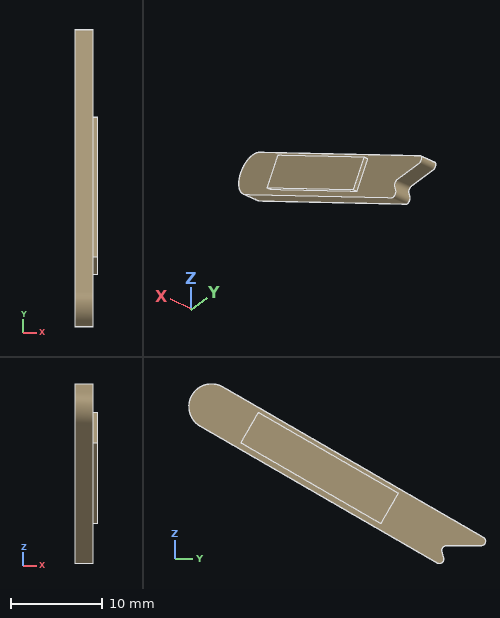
import cadquery as cq
import math

body_thickness = 2.0
arm_width = 5.0
slope = math.radians(30)
end_radius = arm_width / 2

notch_drop = 15.29
notch_corner_y = 25.15
notch_wall_tilt = math.radians(15)
tail_fillet = 0.5

panel_length = 17.75
panel_width = 3.85
panel_height = 0.5
panel_center_y = 11.87
panel_center_z = -6.75


def edge_y(side, z):
    """Y of a long arm edge at height z; side is +1 for upper, -1 for lower."""
    return (side * end_radius - z * math.cos(slope)) / math.sin(slope)


def make_body():
    upper_tangent = (end_radius * math.sin(slope), end_radius * math.cos(slope))
    lower_tangent = (-upper_tangent[0], -upper_tangent[1])
    end_tip = (-end_radius * math.cos(slope), end_radius * math.sin(slope))

    notch_z = -notch_drop
    upper_tail = (edge_y(1, notch_z), notch_z)
    notch_corner = (notch_corner_y, notch_z)

    gap = notch_corner_y - edge_y(-1, notch_z)
    wall_drop = gap / (1 / math.tan(slope) - math.tan(notch_wall_tilt))
    lower_tail_z = notch_z - wall_drop
    lower_tail = (edge_y(-1, lower_tail_z), lower_tail_z)

    body = (
        cq.Workplane("YZ")
        .moveTo(*lower_tangent)
        .threePointArc(end_tip, upper_tangent)
        .lineTo(*upper_tail)
        .lineTo(*notch_corner)
        .lineTo(*lower_tail)
        .close()
        .extrude(body_thickness)
    )
    tail_corners = cq.selectors.BoxSelector(
        (0, notch_corner_y / 2, 2 * lower_tail_z),
        (body_thickness, 2 * notch_corner_y, 0),
    )
    return body.edges("|X").edges(tail_corners).fillet(tail_fillet)


def make_panel():
    return (
        cq.Workplane("YZ", origin=(body_thickness, panel_center_y, panel_center_z))
        .transformed(rotate=(0, 0, -math.degrees(slope)))
        .rect(panel_length, panel_width)
        .extrude(panel_height)
    )


result = make_body().union(make_panel())